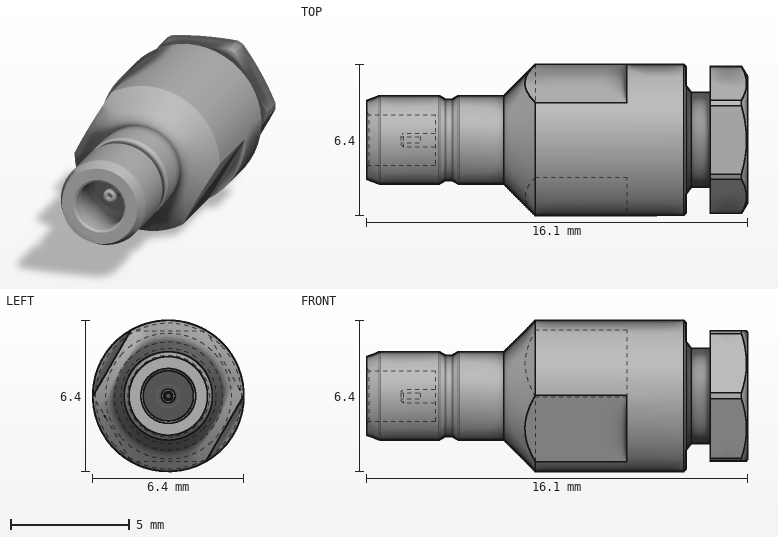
import cadquery as cq
import math

length = 16.11

nose_radius = 1.87
nose_tip_radius = 1.66
lead_in_length = 0.55
lead_in_blend = 0.2

groove_start = 3.06
groove_end = 3.88
groove_radius = 1.72
groove_wall_length = 0.25
groove_blend = 0.1

body_radius = 3.198
shoulder_start = 5.8
shoulder_length = body_radius - nose_radius
body_end = 13.5
body_chamfer = 0.11
across_flats = 5.51
body_flats_end = 10.99
body_flat_angle = 30.0

neck_radius = 2.01
neck_root_radius = 2.29
neck_root_length = 0.21

nut_start = 14.52
nut_corner_radius = 3.11
nut_face_radius = 2.66
nut_chamfer_length = 0.27

socket_mouth_radius = 1.16
socket_radius = 1.06
socket_chamfer = socket_mouth_radius - socket_radius
socket_depth = 2.9
contact_radius = 0.29
contact_hole_radius = 0.13
contact_recess = 1.45
contact_chamfer = 0.1
contact_hole_depth = 0.8


def rod(radius, start, end):
    """Cylinder on the X axis."""
    return cq.Workplane("YZ", origin=(start, 0, 0)).circle(radius).extrude(end - start)


def turned(outline):
    """Solid of revolution about X from (position, radius) corners."""
    return cq.Workplane("XY").polyline(outline).close().revolve(360, (0, 0, 0), (1, 0, 0))


def make_nose():
    nose = turned([
        (0, 0),
        (0, nose_tip_radius),
        (lead_in_length, nose_radius),
        (groove_start, nose_radius),
        (groove_start + groove_wall_length, groove_radius),
        (groove_end - groove_wall_length, groove_radius),
        (groove_end, nose_radius),
        (shoulder_start, nose_radius),
        (shoulder_start, 0),
    ])

    def ring(x, radius):
        margin = 0.02
        return cq.selectors.BoxSelector(
            (x - margin, -radius - margin, -radius - margin),
            (x + margin, radius + margin, radius + margin),
            boundingbox=True,
        )

    nose = nose.edges(ring(lead_in_length, nose_radius)).fillet(lead_in_blend)
    for x, radius in (
        (groove_start, nose_radius),
        (groove_start + groove_wall_length, groove_radius),
        (groove_end - groove_wall_length, groove_radius),
        (groove_end, nose_radius),
    ):
        nose = nose.edges(ring(x, radius)).fillet(groove_blend)
    return nose


def make_body():
    body = turned([
        (shoulder_start, 0),
        (shoulder_start, nose_radius),
        (shoulder_start + shoulder_length, body_radius),
        (body_end - body_chamfer, body_radius),
        (body_end, body_radius - body_chamfer),
        (body_end, 0),
    ])
    flat_length = body_flats_end - shoulder_start
    between_flats = (
        cq.Workplane("XY")
        .box(flat_length, across_flats, 2 * body_radius)
        .translate((shoulder_start + flat_length / 2, 0, 0))
        .rotate((0, 0, 0), (1, 0, 0), body_flat_angle)
    )
    behind_flats = rod(body_radius, body_flats_end, body_end)
    return body.intersect(between_flats.union(behind_flats))


def make_neck():
    return turned([
        (body_end, 0),
        (body_end, neck_root_radius),
        (body_end + neck_root_length, neck_radius),
        (nut_start, neck_radius),
        (nut_start, 0),
    ])


def make_nut():
    hexagon_diameter = across_flats / math.cos(math.pi / 6)
    hexagon = (
        cq.Workplane("YZ", origin=(nut_start, 0, 0))
        .polygon(6, hexagon_diameter)
        .extrude(length - nut_start)
    )
    rounded_envelope = turned([
        (nut_start, 0),
        (nut_start, nut_corner_radius),
        (length - nut_chamfer_length, nut_corner_radius),
        (length, nut_face_radius),
        (length, 0),
    ])
    return hexagon.intersect(rounded_envelope)


def make_socket():
    return turned([
        (0, 0),
        (0, socket_mouth_radius),
        (socket_chamfer, socket_radius),
        (socket_depth, socket_radius),
        (socket_depth, 0),
    ])


def make_contact():
    return turned([
        (contact_recess, contact_hole_radius),
        (contact_recess, contact_radius - contact_chamfer),
        (contact_recess + contact_chamfer, contact_radius),
        (socket_depth, contact_radius),
        (socket_depth, 0),
        (contact_recess + contact_hole_depth, 0),
        (contact_recess + contact_hole_depth, contact_hole_radius),
    ])


result = (
    make_nose()
    .union(make_body())
    .union(make_neck())
    .union(make_nut())
    .cut(make_socket())
    .union(make_contact())
)